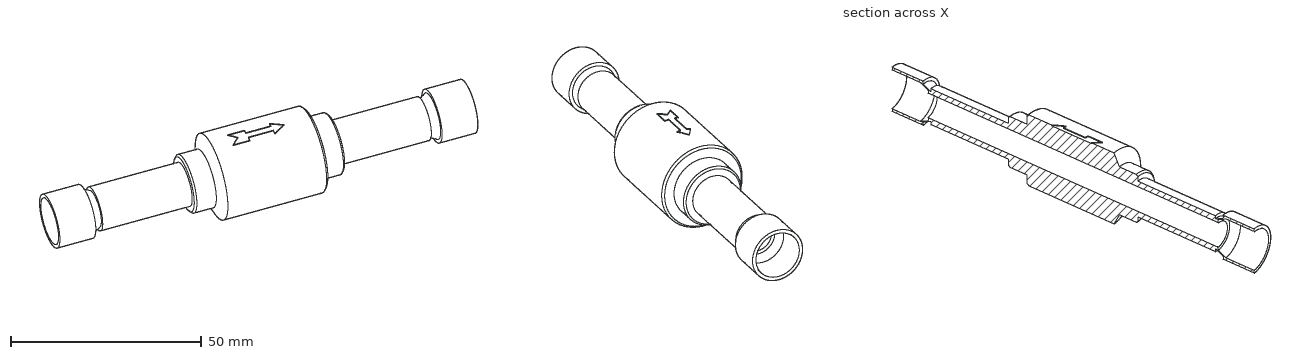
import cadquery as cq

length = 118.0
half_length = length / 2

cup_diameter = 14.8
cup_length = 10.1
cup_bore_diameter = 12.7
cup_bore_depth = 9.2
neck_large_diameter = 12.7
neck_small_diameter = 10.0
neck_length = 2.5
tube_diameter = 12.0
bore_diameter = 8.0

body_diameter = 23.7
body_outlet_y = 15.1
body_chamfer = 0.6
body_inlet_y = -15.1
inlet_cone_length = 1.8

collar_end_y = 21.1
collar_chamfer = 0.53
outlet_collar_diameter = 17.0
inlet_collar_diameter = 16.0

arrow_tip_y = 7.1
arrow_head_base_y = 3.8
arrow_tail_start_y = -3.3
arrow_notch_y = -5.9
arrow_tail_end_y = -8.0
arrow_half_width = 2.0
shaft_half_width = 0.88
arrow_depth = 0.2


def cylinder(diameter, start_y, end_y):
    """Solid cylinder on the Y axis between two positions."""
    circle = cq.Workplane("XZ", origin=(0, start_y, 0)).circle(diameter / 2)
    return circle.extrude(start_y - end_y)


def cone(start_diameter, start_y, end_diameter, end_y):
    """Solid truncated cone on the Y axis."""
    outline = [
        (0, start_y),
        (start_diameter / 2, start_y),
        (end_diameter / 2, end_y),
        (0, end_y),
    ]
    return cq.Workplane("XY").polyline(outline).close().revolve(360, (0, 0), (0, 1))


def make_body():
    body = cylinder(body_diameter, body_inlet_y + inlet_cone_length, body_outlet_y)
    body = body.faces(">Y").chamfer(body_chamfer)
    inlet_cone = cone(
        inlet_collar_diameter, body_inlet_y, body_diameter, body_inlet_y + inlet_cone_length
    )
    outlet_collar = cylinder(outlet_collar_diameter, 0, collar_end_y)
    outlet_collar = outlet_collar.faces(">Y").chamfer(collar_chamfer)
    inlet_collar = cylinder(inlet_collar_diameter, -collar_end_y, 0)
    inlet_collar = inlet_collar.faces("<Y").chamfer(collar_chamfer)
    return body.union(inlet_cone).union(outlet_collar).union(inlet_collar)


def make_outlet_tube():
    """Tube, tapered neck and cup on the +Y side."""
    cup_start_y = half_length - cup_length
    neck_start_y = cup_start_y - neck_length
    tube = cylinder(tube_diameter, 0, neck_start_y)
    neck = cone(neck_small_diameter, neck_start_y, neck_large_diameter, cup_start_y)
    cup = cylinder(cup_diameter, cup_start_y, half_length)
    return tube.union(neck).union(cup)


def make_outlet_socket():
    """Cup bore on the +Y side, with a conical floor running into the through bore."""
    floor_y = half_length - cup_bore_depth
    socket = cylinder(cup_bore_diameter, floor_y, half_length)
    floor = cone(neck_small_diameter, floor_y - neck_length, cup_bore_diameter, floor_y)
    return socket.union(floor)


def make_flow_arrow():
    """Cutter following the cylindrical surface of the body at constant depth."""
    right_side = [
        (0, arrow_tip_y),
        (arrow_half_width, arrow_head_base_y),
        (shaft_half_width, arrow_head_base_y),
        (shaft_half_width, arrow_tail_start_y),
        (arrow_half_width, arrow_tail_start_y),
        (arrow_half_width, arrow_tail_end_y),
        (0, arrow_notch_y),
    ]
    left_side = [(-x, y) for x, y in reversed(right_side[1:-1])]
    arrow = cq.Workplane("XY").polyline(right_side + left_side).close().extrude(body_diameter)
    core = cylinder(body_diameter - 2 * arrow_depth, body_inlet_y, body_outlet_y)
    return arrow.cut(core)


outlet_tube = make_outlet_tube()
outlet_socket = make_outlet_socket()
result = make_body().union(outlet_tube).union(outlet_tube.mirror("XZ"))
result = result.cut(outlet_socket).cut(outlet_socket.mirror("XZ"))
result = result.cut(cylinder(bore_diameter, -half_length, half_length))
result = result.cut(make_flow_arrow())